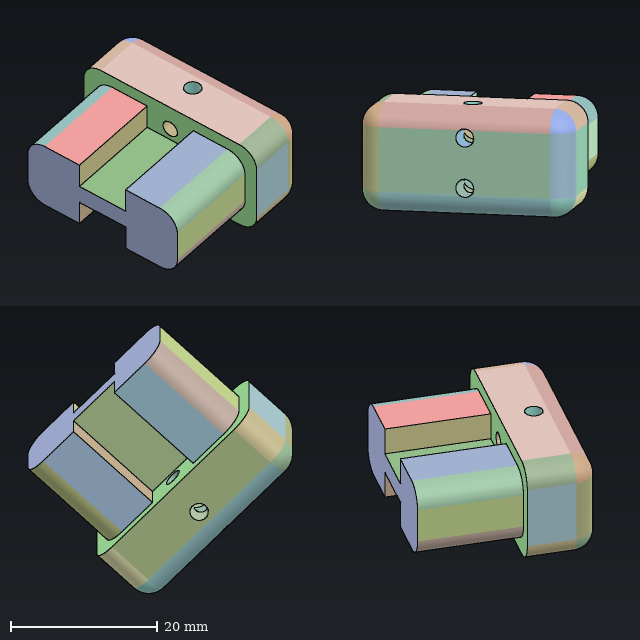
import cadquery as cq

cap_width = 30.0
cap_length = 10.0
cap_height = 15.0
corner_radius = 3.0

plug_length = 15.0
rim = 2.0
plug_width = cap_width - 2 * rim
plug_height = cap_height - 2 * rim
slot_width = 8.0
web_thickness = 3.0
slot_depth = (plug_height - web_thickness) / 2
slot_offset = (web_thickness + slot_depth) / 2

hole_diameter = 2.5


def make_cap():
    """Block from Y = 0 to Y = cap_length, rounded everywhere but its front face."""
    block = cq.Workplane("XY").box(cap_width, cap_length, cap_height)
    block = block.translate((0, cap_length / 2, 0))
    return block.edges("|Y").fillet(corner_radius).faces(">Y").edges().fillet(corner_radius)


def make_plug():
    """Rounded bar in front of the cap, slotted above and below its central web."""
    bar = cq.Workplane("XZ").rect(plug_width, plug_height).extrude(plug_length)
    bar = bar.edges("|Y").fillet(corner_radius)
    slots = (
        cq.Workplane("XZ")
        .pushPoints([(0, slot_offset), (0, -slot_offset)])
        .rect(slot_width, slot_depth)
        .extrude(plug_length)
    )
    return bar.cut(slots)


def make_holes():
    """One hole per slot along Y, plus a cross hole along Z through the middle of the cap."""
    lengthwise = (
        cq.Workplane("XZ")
        .pushPoints([(0, slot_offset), (0, -slot_offset)])
        .circle(hole_diameter / 2)
        .extrude(-cap_length)
    )
    cross = (
        cq.Workplane("XY")
        .center(0, cap_length / 2)
        .circle(hole_diameter / 2)
        .extrude(cap_height / 2, both=True)
    )
    return lengthwise.union(cross)


result = make_cap().union(make_plug()).cut(make_holes())